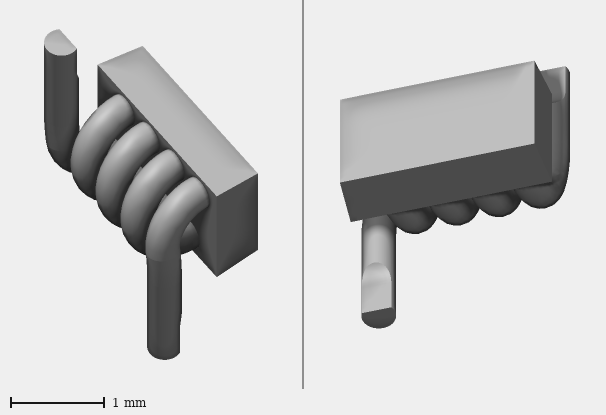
import cadquery as cq
import math

wire_diameter = 0.37
coil_radius = 0.447
pitch = 0.465
turns = 4
bend_radius = 2.378
lead_end_z = 1.585

flat_depth = 0.098
flat_length = 0.39
runout_radius = 0.352

core_length = 2.23
core_height = 1.347
core_depth = 0.56
core_front_y = 0.127
core_draft = 3.7

wire_radius = wire_diameter / 2
coil_length = pitch * turns
slope_angle = math.atan(pitch / (2 * math.pi * coil_radius))
bend_height = bend_radius * math.sin(slope_angle)
lead_x = coil_length / 2 + bend_radius * (1 - math.cos(slope_angle))


def make_winding():
    start_plane = cq.Plane(origin=(-coil_length / 2, 0, 0), xDir=(0, -1, 0), normal=(1, 0, 0))
    helix = cq.Wire.makeHelix(pitch, coil_length, coil_radius).moved(start_plane.location)
    start_direction = (math.sin(slope_angle), 0, -math.cos(slope_angle))
    section_plane = cq.Plane(
        origin=(-coil_length / 2, -coil_radius, 0), xDir=(0, 1, 0), normal=start_direction
    )
    return cq.Workplane(section_plane).circle(wire_radius).sweep(cq.Workplane(helix), isFrenet=True)


def make_flat_cutter():
    flat_y = -coil_radius + wire_radius - flat_depth
    arc_centre_y = flat_y + runout_radius
    flat_end_z = lead_end_z - flat_length
    diagonal = math.sqrt(0.5) * runout_radius
    return (
        cq.Workplane("YZ", origin=(-lead_x, 0, 0))
        .moveTo(flat_y, lead_end_z)
        .lineTo(flat_y, flat_end_z)
        .threePointArc(
            (arc_centre_y - diagonal, flat_end_z - diagonal),
            (arc_centre_y, flat_end_z - runout_radius),
        )
        .lineTo(arc_centre_y, lead_end_z)
        .close()
        .extrude(wire_radius, both=True)
    )


def make_upper_lead():
    lead = (
        cq.Workplane("XY", origin=(-lead_x, -coil_radius, bend_height))
        .circle(wire_radius)
        .extrude(lead_end_z - bend_height)
    )
    bend = (
        cq.Workplane("XY", origin=(-lead_x, -coil_radius, bend_height))
        .circle(wire_radius)
        .revolve(math.degrees(slope_angle), (bend_radius, 0, 0), (bend_radius, -1, 0))
    )
    return lead.cut(make_flat_cutter()).union(bend)


def make_coil():
    upper_lead = make_upper_lead()
    lower_lead = upper_lead.rotate((0, 0, 0), (0, 1, 0), 180)
    return make_winding().union(upper_lead).union(lower_lead)


def make_core(coil):
    block = (
        cq.Workplane("XZ", origin=(0, core_front_y, 0))
        .rect(core_length, core_height)
        .extrude(-core_depth, taper=core_draft)
    )
    return block.cut(coil)


coil = make_coil()
core = make_core(coil)

result = cq.Compound.makeCompound([coil.solids().val(), core.solids().val()])